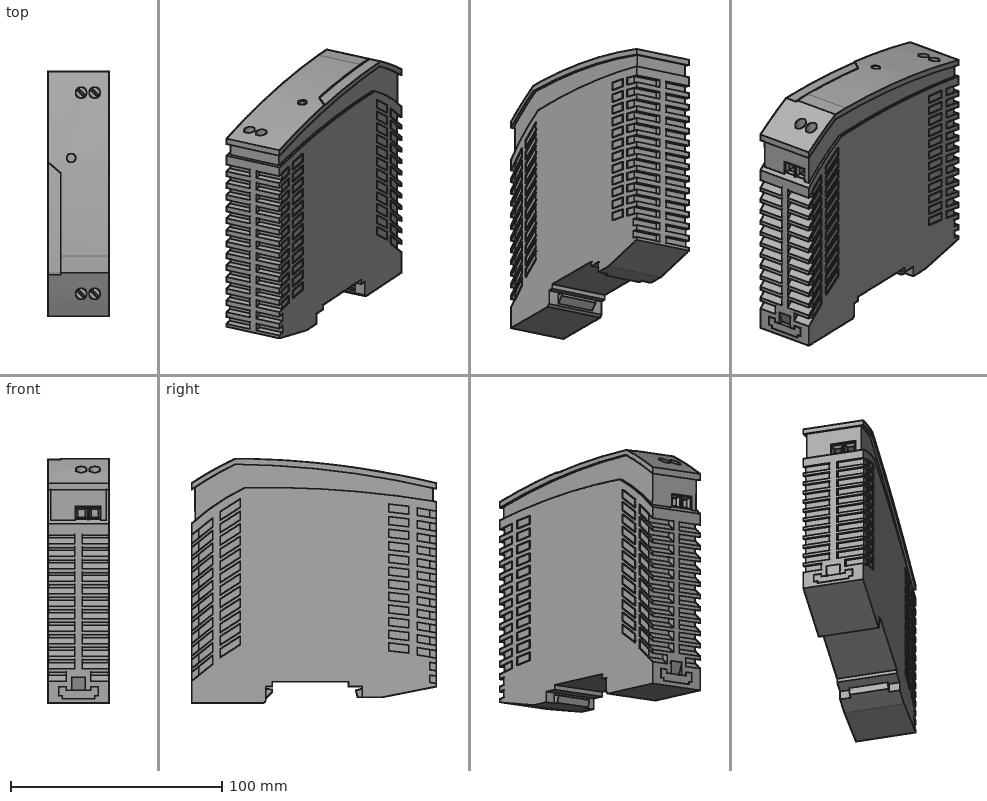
import cadquery as cq


WIDTH = 28.95
LENGTH = 115.8
HEIGHT = 115.64
HALF_WIDTH = WIDTH / 2
REAR = LENGTH / 2
FRONT = -REAR

CAP_EDGE_Z = 104.1
CAP_DOME_MID = (17.57, 111.75)
CAP_FLAT_REAR_Y = -29.25
CAP_FLAT_FRONT_Y = -37.3
CAP_SLOPE_MID = (-47.7, 110.25)
CAP_FRONT_LIP_Z = 101.0
CAP_REAR_LIP_Z = 101.3
CAP_UNDER_CREST = (-37.2, 113.0)
CAP_UNDER_DOME_MID = (25.15, 107.75)
CAP_UNDER_SLOPE_MID = (-48.1, 107.2)

STRIP_WIDTH = 6.0
STRIP_DEPTH = 0.4
STRIP_TIP_Y = 15.1
STRIP_SHOULDER_Y = 9.9

SCREW_X = (1.25, 7.65)
SCREW_Y = (47.9, -47.2)
SCREW_HOLE_DIAMETER = 5.2
SCREW_HEAD_Z = 101.0
SCREW_SLOT_WIDTH = 0.9
SCREW_SLOT_DEPTH = 0.8
SCREW_SLOT_ANGLE = -45

LED_X = -3.45
LED_Y = 17.0
LED_DIAMETER = 4.2
LED_FLOOR_Z = 111.3

NECK_SIDE_INSET = 1.25
NECK_END_INSET = 1.75
NECK_TOP_INSET = 1.5
NECK_TOP_Z = 102.5
NECK_BASE_Z = 80.0

BODY_REAR_Z = 95.3
BODY_DOME_MID = (18.0, 100.3)
BODY_CREST = (-32.7, 101.9)
BODY_SLOPE_MID = (-46.4, 94.0)
BODY_FRONT_Z = 84.9

REAR_BOTTOM_Z = 7.8
REAR_FOOT_Z = 2.7
REAR_FOOT_START_Y = 32.1
RAIL_HALF_LENGTH = 22.77
RAIL_SHELF_Z = 7.8
RAIL_ROOF_Z = 10.05
RAIL_ROOF_REAR_Y = 16.3
RAIL_ROOF_FRONT_Y = -19.7
FRONT_FOOT_CHAMFER = 1.1

HOOK_HALF_WIDTH = 9.35
HOOK_REACH = 3.05
HOOK_ROOT_Z = 6.9
HOOK_BURIED = 1.0
REAR_HOOK_TIP_Z = 6.1
REAR_HOOK_UNDERCUT = 0.9
FRONT_HOOK_TIP_TOP_Z = 6.5
FRONT_HOOK_TIP_BOTTOM_Z = 5.2
FRONT_HOOK_BOTTOM_Z = 2.2

SLIDER_RECESS = 0.2
SLIDER_TOP_Z = 7.8
SLIDER_SADDLE_Z = 6.05
SLIDER_STEP_Z = 3.45
SLIDER_BOTTOM_Z = 2.15
SLIDER_SADDLE_HALF_WIDTH = 5.85
SLIDER_BOTTOM_HALF_WIDTH = 7.6
NOTCH_HALF_WIDTH = 3.3
NOTCH_TOP_Z = 12.2
NOTCH_DEPTH = 2.4

TERMINAL_X = (1.4, 7.7)
TERMINAL_MOUTH_WIDTH = 5.75
TERMINAL_MOUTH_TOP_Z = 93.05
TERMINAL_MOUTH_DEPTH = 0.8
TERMINAL_DIVIDER_RECESS = 0.3
TERMINAL_FUNNEL_WIDTH = 5.3
TERMINAL_FUNNEL_BOTTOM_Z = 87.0
TERMINAL_FUNNEL_TOP_Z = 92.7
TERMINAL_FUNNEL_DEPTH = 1.5
TERMINAL_BORE_WIDTH = 3.4
TERMINAL_BORE_BOTTOM_Z = 87.9
TERMINAL_BORE_TOP_Z = 91.8
TERMINAL_BORE_DEPTH = 3.0
TERMINAL_FACE_Y = FRONT + NECK_END_INSET + TERMINAL_MOUTH_DEPTH

SLOT_RIB_HALF_WIDTH = 1.8
LOW_SLOT_RIB_HALF_WIDTH = 5.7
SIDE_SLOT_DEPTH = 0.45
COLUMN_COUNT = 12
REAR_END_SLOT_COUNT = 14
FRONT_PITCH = 5.9
REAR_OUTER_PITCH = 6.0
REAR_INNER_PITCH = 5.97

FRONT_END_SLOT_DEPTH = 3.45
REAR_END_SLOT_DEPTH = 3.05

FRONT_OUTER_SLOT = dict(outer_y=FRONT, inner_y=-47.95, outer_z=79.5, inner_z=87.5, height=4.15)
FRONT_INNER_SLOT = dict(outer_y=-44.45, inner_y=-34.9, outer_z=90.5, inner_z=96.6, height=4.0)
REAR_OUTER_SLOT = dict(outer_y=REAR, inner_y=48.8, outer_z=90.8, inner_z=92.35, height=3.5)
REAR_INNER_SLOT = dict(outer_y=44.9, inner_y=35.35, outer_z=93.1, inner_z=94.2, height=3.75)

OVERCUT = 1.0


def prism(outline, x_start, x_end):
    """Extrude a closed (Y, Z) polygon from x_start to x_end."""
    plane = cq.Workplane("YZ").workplane(offset=x_start)
    return plane.polyline(outline).close().extrude(x_end - x_start)


def make_cap():
    return (
        cq.Workplane("YZ")
        .workplane(offset=-HALF_WIDTH)
        .moveTo(REAR, CAP_EDGE_Z)
        .threePointArc(CAP_DOME_MID, (CAP_FLAT_REAR_Y, HEIGHT))
        .lineTo(CAP_FLAT_FRONT_Y, HEIGHT)
        .threePointArc(CAP_SLOPE_MID, (FRONT, CAP_EDGE_Z))
        .lineTo(FRONT, CAP_FRONT_LIP_Z)
        .threePointArc(CAP_UNDER_SLOPE_MID, CAP_UNDER_CREST)
        .threePointArc(CAP_UNDER_DOME_MID, (REAR, CAP_REAR_LIP_Z))
        .close()
        .extrude(WIDTH)
    )


def make_neck():
    """Block below the cap, set in on all sides, with the terminal mouths cut in."""
    under_cap = (
        cq.Workplane("YZ")
        .workplane(offset=-HALF_WIDTH)
        .moveTo(REAR, NECK_BASE_Z)
        .lineTo(REAR, CAP_REAR_LIP_Z)
        .threePointArc(CAP_UNDER_DOME_MID, CAP_UNDER_CREST)
        .threePointArc(CAP_UNDER_SLOPE_MID, (FRONT, CAP_FRONT_LIP_Z))
        .lineTo(FRONT, NECK_BASE_Z)
        .close()
        .extrude(WIDTH)
    )
    foot_y = REAR - NECK_END_INSET
    top_y = REAR - NECK_TOP_INSET
    column = [
        (foot_y, NECK_BASE_Z),
        (top_y, NECK_TOP_Z),
        (top_y, HEIGHT),
        (-top_y, HEIGHT),
        (-top_y, NECK_TOP_Z),
        (-foot_y, NECK_BASE_Z),
    ]
    neck_half_width = HALF_WIDTH - NECK_SIDE_INSET
    neck = under_cap.intersect(prism(column, -neck_half_width, neck_half_width))
    half_mouth = TERMINAL_MOUTH_WIDTH / 2
    for x in TERMINAL_X:
        neck = neck.cut(mouth_cutter(x - half_mouth, x + half_mouth, TERMINAL_MOUTH_DEPTH))
    divider_start = TERMINAL_X[0] + half_mouth
    divider_end = TERMINAL_X[1] - half_mouth
    return neck.cut(mouth_cutter(divider_start, divider_end, TERMINAL_DIVIDER_RECESS))


def make_body():
    return (
        cq.Workplane("YZ")
        .workplane(offset=-HALF_WIDTH)
        .moveTo(REAR, BODY_REAR_Z)
        .threePointArc(BODY_DOME_MID, BODY_CREST)
        .threePointArc(BODY_SLOPE_MID, (FRONT, BODY_FRONT_Z))
        .lineTo(FRONT, 0)
        .lineTo(-RAIL_HALF_LENGTH - FRONT_FOOT_CHAMFER, 0)
        .lineTo(-RAIL_HALF_LENGTH, FRONT_FOOT_CHAMFER)
        .lineTo(-RAIL_HALF_LENGTH, RAIL_SHELF_Z)
        .lineTo(RAIL_ROOF_FRONT_Y, RAIL_SHELF_Z)
        .lineTo(RAIL_ROOF_FRONT_Y, RAIL_ROOF_Z)
        .lineTo(RAIL_ROOF_REAR_Y, RAIL_ROOF_Z)
        .lineTo(RAIL_ROOF_REAR_Y, RAIL_SHELF_Z)
        .lineTo(RAIL_HALF_LENGTH, RAIL_SHELF_Z)
        .lineTo(RAIL_HALF_LENGTH, REAR_FOOT_Z)
        .lineTo(REAR_FOOT_START_Y, REAR_FOOT_Z)
        .lineTo(REAR, REAR_BOTTOM_Z)
        .close()
        .extrude(WIDTH)
    )


def make_rail_hooks():
    """Fixed rear hook and sprung front hook reaching under the rail flanges."""
    tip = RAIL_HALF_LENGTH - HOOK_REACH
    root = RAIL_HALF_LENGTH + HOOK_BURIED
    rear_hook = [
        (root, HOOK_ROOT_Z),
        (RAIL_HALF_LENGTH, HOOK_ROOT_Z),
        (tip, REAR_HOOK_TIP_Z),
        (tip + REAR_HOOK_UNDERCUT, REAR_FOOT_Z),
        (root, REAR_FOOT_Z),
    ]
    front_hook = [
        (-root, HOOK_ROOT_Z),
        (-RAIL_HALF_LENGTH, HOOK_ROOT_Z),
        (-tip, FRONT_HOOK_TIP_TOP_Z),
        (-tip, FRONT_HOOK_TIP_BOTTOM_Z),
        (-RAIL_HALF_LENGTH, FRONT_HOOK_BOTTOM_Z),
        (-root, FRONT_HOOK_BOTTOM_Z),
    ]
    hooks = prism(rear_hook, -HOOK_HALF_WIDTH, HOOK_HALF_WIDTH)
    return hooks.union(prism(front_hook, -HOOK_HALF_WIDTH, HOOK_HALF_WIDTH))


def strip_cutter():
    """Everything above the lowered strip, limited to its footprint."""
    dome_mid = (CAP_DOME_MID[0], CAP_DOME_MID[1] - STRIP_DEPTH)
    above = (
        cq.Workplane("YZ")
        .workplane(offset=-HALF_WIDTH)
        .moveTo(REAR, CAP_EDGE_Z - STRIP_DEPTH)
        .threePointArc(dome_mid, (CAP_FLAT_FRONT_Y, HEIGHT - STRIP_DEPTH))
        .lineTo(CAP_FLAT_FRONT_Y - OVERCUT, HEIGHT - STRIP_DEPTH)
        .lineTo(CAP_FLAT_FRONT_Y - OVERCUT, HEIGHT + OVERCUT)
        .lineTo(REAR, HEIGHT + OVERCUT)
        .close()
        .extrude(WIDTH)
    )
    inner_x = -HALF_WIDTH + STRIP_WIDTH
    footprint = (
        cq.Workplane("XY")
        .polyline([
            (-HALF_WIDTH, STRIP_TIP_Y),
            (inner_x, STRIP_SHOULDER_Y),
            (inner_x, FRONT),
            (-HALF_WIDTH, FRONT),
        ])
        .close()
        .extrude(HEIGHT + OVERCUT)
    )
    return above.intersect(footprint)


def screw_cutter(x, y):
    """Vertical access hole ending on a slotted screw head."""
    hole = (
        cq.Workplane("XY", origin=(x, y, SCREW_HEAD_Z))
        .circle(SCREW_HOLE_DIAMETER / 2)
        .extrude(HEIGHT - SCREW_HEAD_Z)
    )
    slot = (
        cq.Workplane("XY", origin=(x, y, SCREW_HEAD_Z - SCREW_SLOT_DEPTH))
        .transformed(rotate=(0, 0, SCREW_SLOT_ANGLE))
        .rect(SCREW_HOLE_DIAMETER, SCREW_SLOT_WIDTH)
        .extrude(SCREW_SLOT_DEPTH)
    )
    head = (
        cq.Workplane("XY", origin=(x, y, SCREW_HEAD_Z - SCREW_SLOT_DEPTH))
        .circle(SCREW_HOLE_DIAMETER / 2)
        .extrude(SCREW_SLOT_DEPTH)
    )
    return hole.union(slot.intersect(head))


def led_cutter():
    return (
        cq.Workplane("XY", origin=(LED_X, LED_Y, LED_FLOOR_Z))
        .circle(LED_DIAMETER / 2)
        .extrude(HEIGHT - LED_FLOOR_Z)
    )


def mouth_cutter(x_start, x_end, depth):
    """Shallow opening in the front of the neck, open at its foot."""
    back_y = FRONT + NECK_END_INSET + depth
    outline = [
        (FRONT, NECK_BASE_Z),
        (FRONT, TERMINAL_MOUTH_TOP_Z),
        (back_y, TERMINAL_MOUTH_TOP_Z),
        (back_y, NECK_BASE_Z),
    ]
    return prism(outline, x_start, x_end)


def terminal_cutter(x):
    """Funnel-shaped wire entry followed by a straight rectangular bore."""
    funnel_z = (TERMINAL_FUNNEL_BOTTOM_Z + TERMINAL_FUNNEL_TOP_Z) / 2
    bore_z = (TERMINAL_BORE_BOTTOM_Z + TERMINAL_BORE_TOP_Z) / 2
    bore_height = TERMINAL_BORE_TOP_Z - TERMINAL_BORE_BOTTOM_Z
    funnel = (
        cq.Workplane("XZ", origin=(x, TERMINAL_FACE_Y, funnel_z))
        .rect(TERMINAL_FUNNEL_WIDTH, TERMINAL_FUNNEL_TOP_Z - TERMINAL_FUNNEL_BOTTOM_Z)
        .workplane(offset=-TERMINAL_FUNNEL_DEPTH)
        .center(0, bore_z - funnel_z)
        .rect(TERMINAL_BORE_WIDTH, bore_height)
        .loft(ruled=True)
    )
    bore = (
        cq.Workplane("XZ", origin=(x, TERMINAL_FACE_Y + TERMINAL_FUNNEL_DEPTH, bore_z))
        .rect(TERMINAL_BORE_WIDTH, bore_height)
        .extrude(-TERMINAL_BORE_DEPTH)
    )
    return funnel.union(bore)


def slider_cutter():
    """Shallow outline of the latch slider with the screwdriver notch above it."""
    right_side = [
        (SLIDER_SADDLE_HALF_WIDTH, SLIDER_SADDLE_Z),
        (SLIDER_SADDLE_HALF_WIDTH, SLIDER_TOP_Z),
        (HOOK_HALF_WIDTH, SLIDER_TOP_Z),
        (HOOK_HALF_WIDTH, SLIDER_STEP_Z),
        (SLIDER_BOTTOM_HALF_WIDTH, SLIDER_STEP_Z),
        (SLIDER_BOTTOM_HALF_WIDTH, SLIDER_BOTTOM_Z),
    ]
    left_side = [(-x, z) for x, z in reversed(right_side)]
    outline = (
        cq.Workplane("XZ", origin=(0, FRONT, 0))
        .polyline(right_side + left_side)
        .close()
        .extrude(-SLIDER_RECESS)
    )
    notch = [
        (FRONT, NOTCH_TOP_Z),
        (FRONT, SLIDER_SADDLE_Z),
        (FRONT + NOTCH_DEPTH, SLIDER_SADDLE_Z),
    ]
    return outline.union(prism(notch, -NOTCH_HALF_WIDTH, NOTCH_HALF_WIDTH))


def slot_outline(outer_y, inner_y, outer_z, inner_z, height, drop, length=None):
    """Slanted slot lowered by drop; length shortens it, measured from the outer end."""
    slope = (inner_z - outer_z) / (inner_y - outer_y)
    run = inner_y - outer_y
    if length is not None:
        run = length if run > 0 else -length
    top_outer = outer_z - drop
    top_inner = top_outer + slope * run
    return [
        (outer_y, top_outer),
        (outer_y + run, top_inner),
        (outer_y + run, top_inner - height),
        (outer_y, top_outer - height),
    ]


def mirrored_cutters(outline, inner_x):
    """The same slot cut into both flanks, from inner_x outwards."""
    right = prism(outline, inner_x, HALF_WIDTH)
    left = prism(outline, -HALF_WIDTH, -inner_x)
    return [right.val(), left.val()]


def side_slot_cutters(slot, pitch):
    """Column of shallow slots on both flanks."""
    cutters = []
    for row in range(COLUMN_COUNT):
        outline = slot_outline(**slot, drop=row * pitch)
        cutters += mirrored_cutters(outline, HALF_WIDTH - SIDE_SLOT_DEPTH)
    return cutters


def end_slot_cutters(slot, pitch, depth, rib_half_widths):
    """Deep slots on an end face, one row for each rib half width."""
    cutters = []
    for row, rib_half_width in enumerate(rib_half_widths):
        outline = slot_outline(**slot, drop=row * pitch, length=depth)
        cutters += mirrored_cutters(outline, rib_half_width)
    return cutters


front_ribs = [SLOT_RIB_HALF_WIDTH] * (COLUMN_COUNT - 1) + [LOW_SLOT_RIB_HALF_WIDTH]
rear_ribs = [SLOT_RIB_HALF_WIDTH] * REAR_END_SLOT_COUNT

side_slots = (
    side_slot_cutters(FRONT_OUTER_SLOT, FRONT_PITCH)
    + side_slot_cutters(FRONT_INNER_SLOT, FRONT_PITCH)
    + side_slot_cutters(REAR_OUTER_SLOT, REAR_OUTER_PITCH)
    + side_slot_cutters(REAR_INNER_SLOT, REAR_INNER_PITCH)
)
end_slots = (
    end_slot_cutters(FRONT_OUTER_SLOT, FRONT_PITCH, FRONT_END_SLOT_DEPTH, front_ribs)
    + end_slot_cutters(REAR_OUTER_SLOT, REAR_OUTER_PITCH, REAR_END_SLOT_DEPTH, rear_ribs)
)

result = make_body().union(make_rail_hooks()).union(make_neck()).union(make_cap())
result = result.cut(cq.Workplane(cq.Compound.makeCompound(side_slots)))
result = result.cut(cq.Workplane(cq.Compound.makeCompound(end_slots)))
result = result.cut(slider_cutter())
result = result.cut(strip_cutter()).cut(led_cutter())
for screw_y in SCREW_Y:
    for screw_x in SCREW_X:
        result = result.cut(screw_cutter(screw_x, screw_y))
for terminal_x in TERMINAL_X:
    result = result.cut(terminal_cutter(terminal_x))